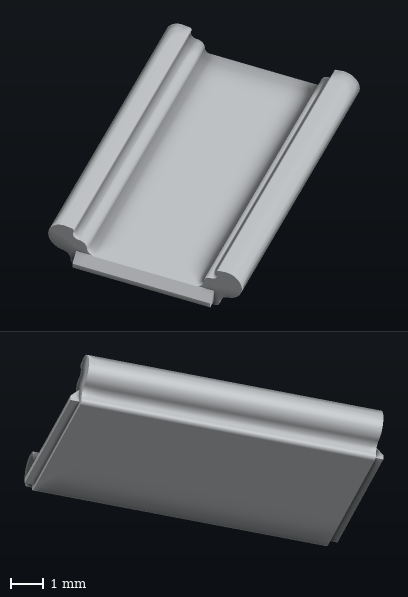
import cadquery as cq
import math

overall_width = 6.5
overall_length = 10.2
overall_height = 1.56
tab_reach = 0.3
body_length = overall_length - 2 * tab_reach

floor_height = 0.6
base_half_width = 2.5
base_corner_radius = 0.15

lobe_radius = 0.54
lobe_center = (-overall_width / 2 + lobe_radius, overall_height - lobe_radius)

undercut_radius = 0.31
undercut_x = -base_half_width - undercut_radius
undercut_drop = math.sqrt((lobe_radius + undercut_radius) ** 2 - (undercut_x - lobe_center[0]) ** 2)
undercut_center = (undercut_x, lobe_center[1] - undercut_drop)

flank_fillet_radius = 0.24
shoulder_radius = 0.27
notch_radius = 0.2
tip_radius = 0.09
shoulder_center = (-2.22, floor_height + flank_fillet_radius)
flank_fillet_center = (shoulder_center[0] + shoulder_radius + flank_fillet_radius, shoulder_center[1])
notch_center = (shoulder_center[0], shoulder_center[1] + shoulder_radius + notch_radius)
tip_direction = 153

tab_width = 4.62
tab_bottom = 0.15
tab_top = floor_height
tab_bevel = 0.28


def polar(center, radius, degrees):
    """Point on a circle in the XZ profile."""
    angle = math.radians(degrees)
    return (center[0] + radius * math.cos(angle), center[1] + radius * math.sin(angle))


def add_arc(profile, center, radius, start, end):
    """Add an arc from the current point, which lies at the start angle."""
    middle = polar(center, radius, (start + end) / 2)
    return profile.threePointArc(middle, polar(center, radius, end))


def direction(origin, target):
    """Angle in degrees, from 0 to 360, of the line between two points."""
    return math.degrees(math.atan2(target[1] - origin[1], target[0] - origin[0])) % 360


def make_half_body():
    """Left half of the constant-section body, centered along Y."""
    tip_center = polar(notch_center, notch_radius + tip_radius, tip_direction)
    undercut_start = direction(undercut_center, lobe_center)
    lobe_start = direction(lobe_center, undercut_center)

    profile = cq.Workplane("XZ").moveTo(0, 0)
    profile = profile.lineTo(-base_half_width + base_corner_radius, 0)
    base_corner_center = (-base_half_width + base_corner_radius, base_corner_radius)
    profile = add_arc(profile, base_corner_center, base_corner_radius, 270, 180)
    profile = profile.lineTo(-base_half_width, undercut_center[1])
    profile = add_arc(profile, undercut_center, undercut_radius, 0, undercut_start)
    profile = add_arc(profile, lobe_center, lobe_radius, lobe_start, 90)
    profile = profile.lineTo(*polar(tip_center, tip_radius, 90))
    profile = add_arc(profile, tip_center, tip_radius, 90, tip_direction - 180)
    profile = add_arc(profile, notch_center, notch_radius, tip_direction, 270)
    profile = add_arc(profile, shoulder_center, shoulder_radius, 90, 0)
    profile = add_arc(profile, flank_fillet_center, flank_fillet_radius, 180, 270)
    profile = profile.lineTo(0, floor_height).close()
    return profile.extrude(body_length / 2, both=True)


def make_tabs():
    """Bar through the body whose beveled ends stand out as the two tabs."""
    end_y = overall_length / 2
    bevel_y = end_y - tab_bevel
    lip_height = tab_top - tab_bevel
    outline = [
        (-end_y, tab_bottom),
        (end_y, tab_bottom),
        (end_y, lip_height),
        (bevel_y, tab_top),
        (-bevel_y, tab_top),
        (-end_y, lip_height),
    ]
    return cq.Workplane("YZ").polyline(outline).close().extrude(tab_width / 2, both=True)


half_body = make_half_body()
body = half_body.union(half_body.mirror("YZ"))
result = body.union(make_tabs()).clean()